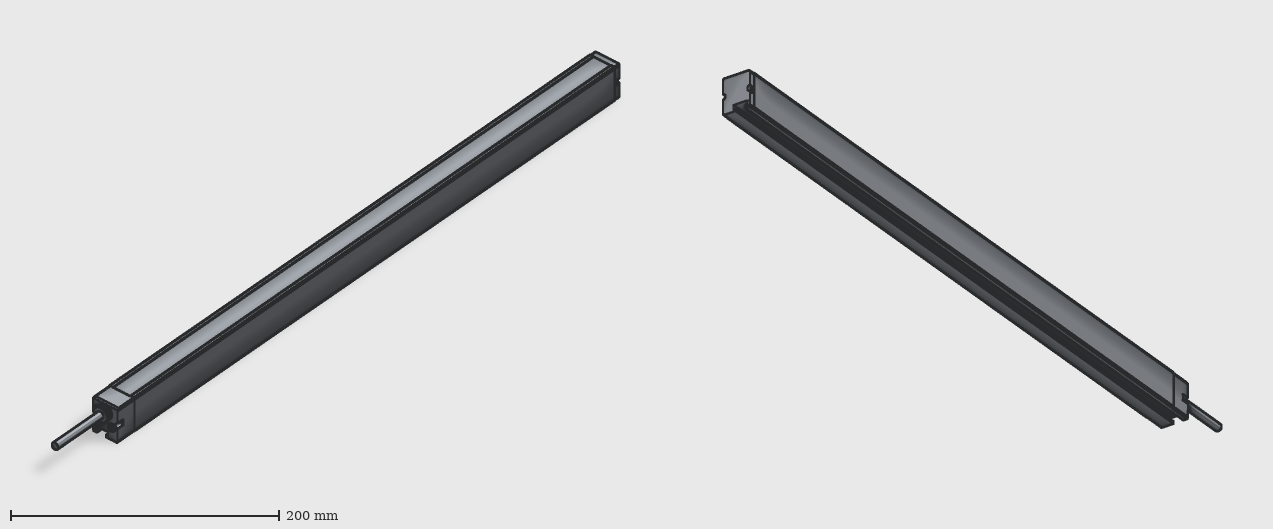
import cadquery as cq

TOTAL_LENGTH = 630.0
WIDTH = 25.0
HEIGHT = 31.5
REAR_Y = TOTAL_LENGTH / 2
CABLE_TIP_Y = -TOTAL_LENGTH / 2

CABLE_LENGTH = 51.5
GLAND_LENGTH = 5.5
FRONT_CAP_LENGTH = 19.0
REAR_CAP_LENGTH = 5.5
GLAND_FACE_Y = CABLE_TIP_Y + CABLE_LENGTH
FRONT_Y = GLAND_FACE_Y + GLAND_LENGTH
PROFILE_FRONT_Y = FRONT_Y + FRONT_CAP_LENGTH
PROFILE_REAR_Y = REAR_Y - REAR_CAP_LENGTH

EDGE_BEVEL_X = 0.75
EDGE_BEVEL_Z = 1.6
CAP_INSET = 0.3
CAP_BEVEL_LENGTH = 2.0
CAP_BEVEL_DROP = 0.95

WINDOW_WIDTH = 17.0
WINDOW_DEPTH = 0.5

CABLE_AXIS_Z = 23.0
CABLE_DIAMETER = 6.0
GLAND_DIAMETER = 13.0
GLAND_GROOVE_WIDTH = 2.0
GLAND_GROOVE_DEPTH = 0.5

NOTCH_Z = 16.0
NOTCH_DIAMETER = 5.0
FRONT_NOTCH_LENGTH = 6.0
REAR_NOTCH_LENGTH = 4.0

SCREW_X = 6.0
SCREW_Z = 11.5
SCREW_HEAD_DIAMETER = 7.0
SCREW_SOCKET_DIAMETER = 3.0
SCREW_HEAD_RECESS = 0.5
SCREW_SOCKET_DEPTH = 2.0

MOUTH_LEFT = -8.0
MOUTH_RIGHT = 0.5
UNDERCUT = 2.0
LIP_HEIGHT = 2.0
CHANNEL_TOP = 5.5


def box_between(x_range, y_range, z_range):
    """Axis-aligned box spanning three (low, high) ranges."""
    size = [high - low for low, high in (x_range, y_range, z_range)]
    low_corner = (x_range[0], y_range[0], z_range[0])
    return cq.Workplane("XY").box(*size, centered=False).translate(low_corner)


def cylinder_along_y(diameter, y_start, y_end, x=0.0, z=CABLE_AXIS_Z):
    """Cylinder parallel to Y, by default on the cable axis."""
    return cq.Workplane("XZ", origin=(x, y_end, z)).circle(diameter / 2).extrude(y_end - y_start)


def bevelled_bar(y_start, y_end, inset=0.0):
    """Length of bar with bevelled long edges, its sides and top moved in by the inset."""
    half_width = WIDTH / 2 - inset
    top = HEIGHT - inset
    right_side = [
        (half_width - EDGE_BEVEL_X, 0),
        (half_width, EDGE_BEVEL_Z),
        (half_width, top - EDGE_BEVEL_Z),
        (half_width - EDGE_BEVEL_X, top),
    ]
    left_side = [(-x, z) for x, z in reversed(right_side)]
    section = cq.Workplane("XZ", origin=(0, y_end, 0)).polyline(right_side + left_side).close()
    return section.extrude(y_end - y_start)


def make_profile():
    """Long middle section with the window recess in its top."""
    window = box_between(
        (-WINDOW_WIDTH / 2, WINDOW_WIDTH / 2),
        (PROFILE_FRONT_Y, PROFILE_REAR_Y),
        (HEIGHT - WINDOW_DEPTH, HEIGHT),
    )
    return bevelled_bar(PROFILE_FRONT_Y, PROFILE_REAR_Y).cut(window)


def make_front_cap():
    """Cable-end cap with a bevelled top front edge and two sunk screw heads."""
    cap = bevelled_bar(FRONT_Y, PROFILE_FRONT_Y, CAP_INSET)
    top = HEIGHT - CAP_INSET
    bevel = (
        cq.Workplane("YZ", origin=(-WIDTH / 2, 0, 0))
        .polyline([(FRONT_Y, top), (FRONT_Y + CAP_BEVEL_LENGTH, top), (FRONT_Y, top - CAP_BEVEL_DROP)])
        .close()
        .extrude(WIDTH)
    )
    cap = cap.cut(bevel)
    recesses = (
        (SCREW_HEAD_DIAMETER, SCREW_HEAD_RECESS),
        (SCREW_SOCKET_DIAMETER, SCREW_SOCKET_DEPTH),
    )
    for x in (-SCREW_X, SCREW_X):
        for diameter, depth in recesses:
            cap = cap.cut(cylinder_along_y(diameter, FRONT_Y, FRONT_Y + depth, x, SCREW_Z))
    return cap


def make_gland():
    """Round cable gland with a shallow groove around its middle."""
    gland = cylinder_along_y(GLAND_DIAMETER, GLAND_FACE_Y, FRONT_Y)
    groove_start = GLAND_FACE_Y + (GLAND_LENGTH - GLAND_GROOVE_WIDTH) / 2
    groove_end = groove_start + GLAND_GROOVE_WIDTH
    groove_floor = GLAND_DIAMETER - 2 * GLAND_GROOVE_DEPTH
    groove = cylinder_along_y(GLAND_DIAMETER, groove_start, groove_end).cut(
        cylinder_along_y(groove_floor, groove_start, groove_end)
    )
    return gland.cut(groove)


def make_channel():
    """Cutter for the mounting channel: a narrow mouth below a wider slot."""
    bar_length = (FRONT_Y, REAR_Y)
    mouth = box_between((MOUTH_LEFT, MOUTH_RIGHT), bar_length, (0, CHANNEL_TOP))
    slot_width = (MOUTH_LEFT - UNDERCUT, MOUTH_RIGHT + UNDERCUT)
    return mouth.union(box_between(slot_width, bar_length, (LIP_HEIGHT, CHANNEL_TOP)))


def make_housing():
    """Profile, caps and gland as one solid, with channel, notches and cable hole."""
    rear_cap = bevelled_bar(PROFILE_REAR_Y, REAR_Y, CAP_INSET)
    housing = make_profile().union(make_front_cap()).union(rear_cap).union(make_gland())
    housing = housing.cut(make_channel())

    notch_spans = (
        (FRONT_Y, FRONT_Y + FRONT_NOTCH_LENGTH),
        (REAR_Y - REAR_NOTCH_LENGTH, REAR_Y),
    )
    for y_start, y_end in notch_spans:
        for flank_x in (-WIDTH / 2, WIDTH / 2):
            housing = housing.cut(cylinder_along_y(NOTCH_DIAMETER, y_start, y_end, flank_x, NOTCH_Z))

    return housing.cut(cylinder_along_y(CABLE_DIAMETER, GLAND_FACE_Y, FRONT_Y))


def make_cable():
    """Cable stub seated through the full length of the gland."""
    return cylinder_along_y(CABLE_DIAMETER, CABLE_TIP_Y, FRONT_Y)


housing = make_housing()
cable = make_cable()
result = cq.Compound.makeCompound([housing.val(), cable.val()])